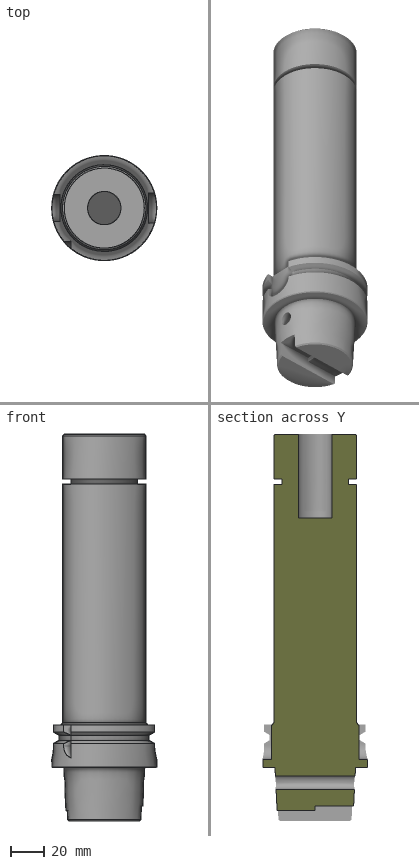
import cadquery as cq


body_radius = 25.0
gauge_length = 200.0
nut_length = 27.0
nut_chamfer = 1.0
neck_length = 3.0
neck_radius = 20.0
bore_radius = 10.0
bore_depth = 50.0
collar_radius = 26.0
collar_height = 1.3

flange_radius = 31.5
flange_height = 25.7
flange_edge_chamfer = 0.5
gripper_groove_center = 17.9
gripper_groove_width = 7.0
gripper_groove_floor_radius = 28.3
gripper_groove_floor_width = 3.0

shank_length = 32.0
shank_top_radius = 24.3
taper_per_length = 0.05
shank_chamfer = 0.8

slot_floor_distance = 26.5
narrow_slot_center_height = 13.0
narrow_slot_width = 16.0
wide_slot_width = 18.0
slot_bottom_height = narrow_slot_center_height - narrow_slot_width / 2
notch_corner_distance = 20.0

cross_hole_radius = 4.0
cross_hole_height = -9.0
drive_key_width = 12.0
shallow_key_depth = 6.2
deep_key_depth = 9.0


def make_revolved_body():
    """Shank, flange, body and nut as one turned profile."""
    shank_end_radius = shank_top_radius - taper_per_length * (shank_length - shank_chamfer)
    groove_low = gripper_groove_center - gripper_groove_width / 2
    groove_high = gripper_groove_center + gripper_groove_width / 2
    floor_low = gripper_groove_center - gripper_groove_floor_width / 2
    floor_high = gripper_groove_center + gripper_groove_floor_width / 2
    nut_bottom = gauge_length - nut_length
    neck_bottom = nut_bottom - neck_length
    profile = [
        (0, -shank_length),
        (shank_end_radius - shank_chamfer, -shank_length),
        (shank_end_radius, -shank_length + shank_chamfer),
        (shank_top_radius, 0),
        (flange_radius - flange_edge_chamfer, 0),
        (flange_radius, flange_edge_chamfer),
        (flange_radius, groove_low),
        (gripper_groove_floor_radius, floor_low),
        (gripper_groove_floor_radius, floor_high),
        (flange_radius, groove_high),
        (flange_radius, flange_height),
        (collar_radius, flange_height),
        (body_radius, flange_height + collar_height),
        (body_radius, neck_bottom),
        (neck_radius, neck_bottom),
        (neck_radius, nut_bottom),
        (body_radius, nut_bottom),
        (body_radius, gauge_length - nut_chamfer),
        (body_radius - nut_chamfer, gauge_length),
        (0, gauge_length),
    ]
    return cq.Workplane("XZ").polyline(profile).close().revolve(360, (0, 0), (0, 1))


def make_bore():
    """Blind bore in the nut face."""
    bore_bottom = gauge_length - bore_depth
    return cq.Workplane("XY").workplane(offset=bore_bottom).circle(bore_radius).extrude(bore_depth)


def make_flange_slot(width, center_y, inner_x, side):
    """Round-ended slot open to the top of the flange, cut outward along X from inner_x."""
    radius = width / 2
    center_z = slot_bottom_height + radius
    top_z = flange_height + collar_height
    return (
        cq.Workplane("YZ", origin=(inner_x, center_y, 0))
        .moveTo(-radius, top_z)
        .lineTo(-radius, center_z)
        .threePointArc((0, slot_bottom_height), (radius, center_z))
        .lineTo(radius, top_z)
        .close()
        .extrude(side * flange_radius)
    )


def make_cross_hole():
    """Hole across the shank along X."""
    return (
        cq.Workplane("YZ", origin=(-flange_radius, 0, 0))
        .center(0, cross_hole_height)
        .circle(cross_hole_radius)
        .extrude(2 * flange_radius)
    )


def make_drive_key(depth, side):
    """Keyway across one half of the shank end."""
    return (
        cq.Workplane("XY")
        .box(shank_top_radius, drive_key_width, depth, centered=(True, True, False))
        .translate((side * shank_top_radius / 2, 0, -shank_length))
    )


notch_center_y = -notch_corner_distance - narrow_slot_width / 2

result = (
    make_revolved_body()
    .cut(make_bore())
    .cut(make_flange_slot(narrow_slot_width, 0, -slot_floor_distance, -1))
    .cut(make_flange_slot(wide_slot_width, 0, slot_floor_distance, 1))
    .cut(make_flange_slot(narrow_slot_width, notch_center_y, -notch_corner_distance, -1))
    .cut(make_cross_hole())
    .cut(make_drive_key(shallow_key_depth, -1))
    .cut(make_drive_key(deep_key_depth, 1))
)